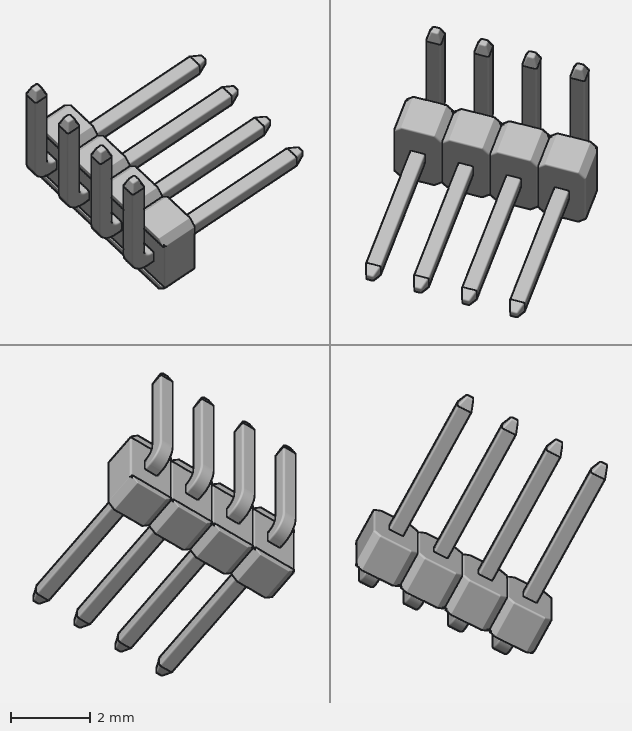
import cadquery as cq
import math

module_count = 4
row_length = 5.08

block_height = 2.1
block_front_y = 0.695
block_back_y = 1.7
block_corner = 0.195
edge_radius = 0.05
small_radius = 0.02

lip_depth = 0.04
lip_overhang = 0.01
lip_inset = 0.02

pin_width = 0.4
pin_top_z = 3.45
pin_back_y = 5.7
bend_outer_radius = 0.5
bend_inner_radius = 0.25
tip_length = 0.3
tip_width = 0.195

pitch = row_length / module_count
half_block = block_height / 2
half_pitch = pitch / 2
half_pin = pin_width / 2
shoulder_z = pin_top_z - tip_length
shoulder_y = pin_back_y - tip_length
chamfer_base_z = half_block - block_corner


def make_block():
    """Octagonal block with rounded edges along Y, upright front edges and back rim."""
    octagon = (
        cq.Workplane("XZ", origin=(0, block_front_y, 0))
        .rect(pitch, block_height)
        .extrude(block_front_y - block_back_y)
        .edges("|Y")
        .chamfer(block_corner)
        .edges("|Y")
        .fillet(small_radius)
        .faces(">Y")
        .edges()
        .fillet(edge_radius)
    )
    upright = (
        cq.Workplane("XY", origin=(0, (block_front_y + block_back_y) / 2, -half_block))
        .rect(pitch, block_back_y - block_front_y)
        .extrude(block_height)
        .edges("|Z and <Y")
        .fillet(edge_radius)
    )
    return octagon.intersect(upright)


def make_top_lip():
    """Raised strip on the front face, following the chamfered top of the block."""
    half_base = half_pitch - lip_inset
    half_top = half_pitch - block_corner
    base_z = chamfer_base_z - lip_overhang
    slope_z = chamfer_base_z + lip_inset
    return (
        cq.Workplane("XZ", origin=(0, block_front_y, 0))
        .moveTo(-half_base, base_z)
        .lineTo(half_base, base_z)
        .lineTo(half_base, slope_z)
        .lineTo(half_top, half_block)
        .lineTo(-half_top, half_block)
        .lineTo(-half_base, slope_z)
        .close()
        .extrude(lip_depth)
        .edges("|Y and >Z")
        .fillet(small_radius)
        .faces("<Y")
        .edges()
        .fillet(small_radius)
    )


def make_bent_bar():
    """Square bar bent through a right angle, with rounded long edges and flat ends."""
    inner_arc_middle = bend_inner_radius * (1 - math.sqrt(0.5))
    outer_arc_middle = bend_outer_radius * (1 - math.sqrt(0.5))
    return (
        cq.Workplane("YZ", origin=(-half_pin, 0, 0))
        .moveTo(0, shoulder_z)
        .lineTo(0, bend_outer_radius - half_pin)
        .threePointArc(
            (outer_arc_middle, outer_arc_middle - half_pin),
            (bend_outer_radius, -half_pin),
        )
        .lineTo(shoulder_y, -half_pin)
        .lineTo(shoulder_y, half_pin)
        .lineTo(pin_width + bend_inner_radius, half_pin)
        .threePointArc(
            (pin_width + inner_arc_middle, half_pin + inner_arc_middle),
            (pin_width, half_pin + bend_inner_radius),
        )
        .lineTo(pin_width, shoulder_z)
        .close()
        .extrude(pin_width)
        .faces("<X or >X")
        .edges("not(>Y or >Z)")
        .fillet(edge_radius)
    )


def make_tip():
    """Tapered tip along +Z, starting at the origin with the section of the bar."""
    taper_angle = math.degrees(math.atan((pin_width - tip_width) / 2 / tip_length))
    return (
        cq.Workplane("XY")
        .rect(pin_width, pin_width)
        .extrude(tip_length, taper=taper_angle)
        .edges("not <Z")
        .fillet(edge_radius)
    )


def make_pin():
    """Bent bar with a tapered tip on each end."""
    tip = make_tip()
    top_tip = tip.translate((0, half_pin, shoulder_z))
    back_tip = tip.rotate((0, 0, 0), (1, 0, 0), -90).translate((0, shoulder_y, 0))
    return make_bent_bar().union(top_tip).union(back_tip)


def make_module():
    """Block, lips and pin as one solid centred on X = 0."""
    top_lip = make_top_lip()
    bottom_lip = top_lip.mirror("XY")
    return make_block().union(top_lip).union(bottom_lip).union(make_pin())


module = make_module()
first_x = -pitch * (module_count - 1) / 2
modules = [
    module.translate((first_x + index * pitch, 0, 0)).val()
    for index in range(module_count)
]
result = cq.Compound.makeCompound(modules)